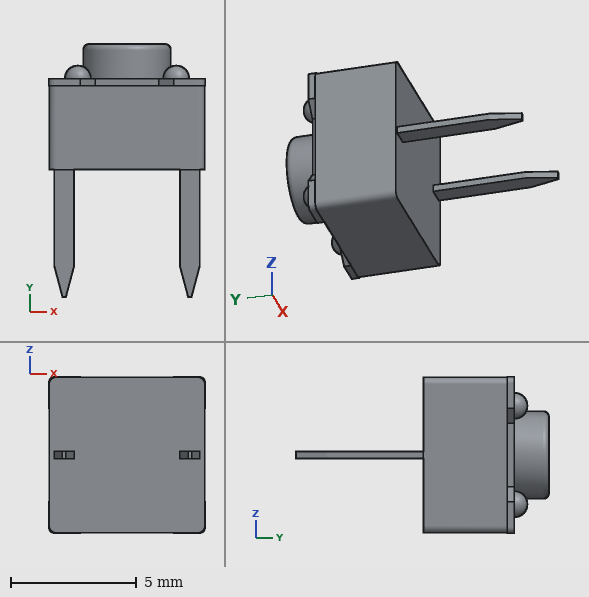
import cadquery as cq


body_side = 6.2
body_height = 3.35
body_corner_radius = 0.28

plate_side = 6.23
plate_thickness = 0.28
plate_corner_radius = 0.25
notch_mouth_width = 3.72
notch_floor_width = 2.54
notch_depth = 0.59

button_diameter = 3.5
button_height = 1.38
button_edge_radius = 0.25

rivet_radius = 0.52
rivet_pitch = 3.92

pin_pitch = 5.0
pin_width = 0.8
pin_thickness = 0.28
pin_length = 5.07
pin_taper_length = 1.24
pin_tip_width = 0.14

plate_top = body_height + plate_thickness


def extrude_up(base_y):
    """Workplane at height base_y whose normal is +Y; its local Y axis is -Z."""
    return cq.Workplane("XZ", origin=(0, base_y, 0)).transformed(rotate=(180, 0, 0))


def rounded_square(side_length, base_y, thickness, corner_radius):
    block = extrude_up(base_y).rect(side_length, side_length).extrude(thickness)
    return block.edges("|Y").fillet(corner_radius)


def make_plate():
    """Cover plate with a trapezoidal notch in the middle of each side."""
    plate = rounded_square(plate_side, body_height, plate_thickness, plate_corner_radius)
    edge = plate_side / 2
    notch = (
        extrude_up(body_height)
        .moveTo(-notch_mouth_width / 2, edge)
        .lineTo(-notch_floor_width / 2, edge - notch_depth)
        .lineTo(notch_floor_width / 2, edge - notch_depth)
        .lineTo(notch_mouth_width / 2, edge)
        .close()
        .extrude(plate_thickness)
    )
    for angle in (0, 90, 180, 270):
        plate = plate.cut(notch.rotate((0, 0, 0), (0, 1, 0), angle))
    return plate


def make_button():
    button = extrude_up(body_height).circle(button_diameter / 2).extrude(plate_thickness + button_height)
    return button.faces(">Y").edges().fillet(button_edge_radius)


def make_rivets():
    """Domed heads; the lower half of each sphere is sunk in the plate and housing."""
    return (
        extrude_up(plate_top)
        .rect(rivet_pitch, rivet_pitch, forConstruction=True)
        .vertices()
        .sphere(rivet_radius)
    )


def make_pin(center_x):
    """Flat pin tapering to a narrow blunt tip."""
    half_width = pin_width / 2
    half_tip = pin_tip_width / 2
    shoulder_y = pin_taper_length - pin_length
    return (
        cq.Workplane("XY", origin=(center_x, 0, 0))
        .moveTo(-half_width, 0)
        .lineTo(-half_width, shoulder_y)
        .lineTo(-half_tip, -pin_length)
        .lineTo(half_tip, -pin_length)
        .lineTo(half_width, shoulder_y)
        .lineTo(half_width, 0)
        .close()
        .extrude(pin_thickness / 2, both=True)
    )


result = rounded_square(body_side, 0, body_height, body_corner_radius)
result = result.union(make_plate())
result = result.union(make_button())
result = result.union(make_rivets())
for side in (-1, 1):
    result = result.union(make_pin(side * pin_pitch / 2))